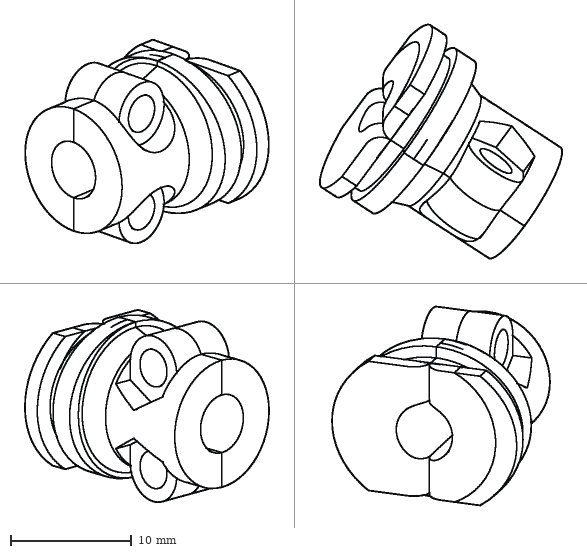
import cadquery as cq

barrel_end = 8.2
cone_end = 10.21
flange_end = 12.18
neck_end = 13.52
total_length = 15.0

bore_radius = 2.49
barrel_radius = 5.49
cone_radius = 6.23

stretch = 1.0
neck_height = 5.7
flange_height = 6.69
plate_width = 8.2
plate_height = plate_width - stretch
plate_flat = 5.74
plate_round = 1.48

core_flange_radius = 6.67
core_groove_radius = barrel_radius
core_plate_radius = 6.33
front_clearance = plate_width
register_end = (cone_end + flange_end) / 2

screw_hole_radius = 3.2 / 2
boss_radius = 2.75
boss_top = 14.3 / 2
boss_offset = boss_top - boss_radius
boss_half_length = 3.05
boss_y = 5.0
nut_flats = 2 * boss_radius
sides = (1, -1)


def y_plane(y):
    """XZ sketch plane at y, extruding toward +Y."""
    return cq.Workplane(cq.Plane(origin=(0, y, 0), xDir=(1, 0, 0), normal=(0, 1, 0)))


def elliptical_slab(half_height, start, end):
    return y_plane(start).ellipse(half_height + stretch, half_height).extrude(end - start)


def barrel_and_cone():
    profile = [(0, 0), (barrel_radius, 0), (barrel_radius, barrel_end), (cone_radius, cone_end), (0, cone_end)]
    return cq.Workplane("XY").polyline(profile).close().revolve(360, (0, 0, 0), (0, 1, 0))


def rear_plate():
    """Elliptical plate with flats at top and bottom."""
    plate = elliptical_slab(plate_height, neck_end, total_length)
    flats = cq.Workplane("XY").box(2 * plate_width, 2 * total_length, 2 * plate_flat)
    return plate.intersect(flats)


def along_x(z, start):
    """YZ sketch plane centred on a clamp screw axis."""
    return cq.Workplane("YZ", origin=(start, boss_y, z))


def add_clamp_screw(body, z):
    """Boss, screw hole, hexagonal nut seat on -X and round head seat on +X."""
    reach = plate_width
    nut_seat = (
        along_x(z, -boss_half_length)
        .polygon(6, nut_flats, circumscribed=True)
        .extrude(-reach)
    )
    head_seat = along_x(z, boss_half_length).circle(boss_radius).extrude(reach)
    boss = along_x(z, -boss_half_length).circle(boss_radius).extrude(2 * boss_half_length)
    hole = along_x(z, -reach).circle(screw_hole_radius).extrude(2 * reach)
    return body.cut(nut_seat).cut(head_seat).union(boss).cut(hole)


def half_space(side):
    """Block filling one side of the split plane X = 0."""
    width = 2 * plate_width
    length = 2 * total_length
    return cq.Workplane("XY").box(width, length, length).translate((side * width / 2, total_length / 2, 0))


def whole_clamp():
    body = barrel_and_cone()
    body = body.union(elliptical_slab(flange_height, cone_end, flange_end))
    body = body.union(elliptical_slab(neck_height, flange_end, neck_end))
    body = body.union(rear_plate())
    for side in sides:
        body = add_clamp_screw(body, side * boss_offset)
    bore = y_plane(0).circle(bore_radius).extrude(total_length)
    return body.cut(bore)


def clamp_half(side):
    """One half of the clamp, with the rear edge rounded along the split."""
    half = whole_clamp().intersect(half_space(side))
    rear_split_edges = cq.selectors.BoxSelector(
        (-0.16, total_length - 0.16, -plate_height), (0.16, total_length + 0.16, plate_height)
    )
    return half.edges(rear_split_edges).fillet(plate_round)


def collar_core():
    """Stepped round core that the collar wraps: flange register, groove and plate spigot."""
    profile = [
        (0, 0),
        (front_clearance, 0),
        (front_clearance, cone_end),
        (core_flange_radius, cone_end),
        (core_flange_radius, register_end),
        (core_groove_radius, register_end),
        (core_groove_radius, neck_end),
        (core_plate_radius, neck_end),
        (core_plate_radius, total_length),
        (0, total_length),
    ]
    return cq.Workplane("XY").polyline(profile).close().revolve(360, (0, 0, 0), (0, 1, 0))


plain_left_half = clamp_half(-1)
core = collar_core()
left_half = plain_left_half.intersect(core)
collar = plain_left_half.cut(core)
right_half = clamp_half(1)

result = cq.Compound.makeCompound([left_half.val(), right_half.val(), collar.val()])